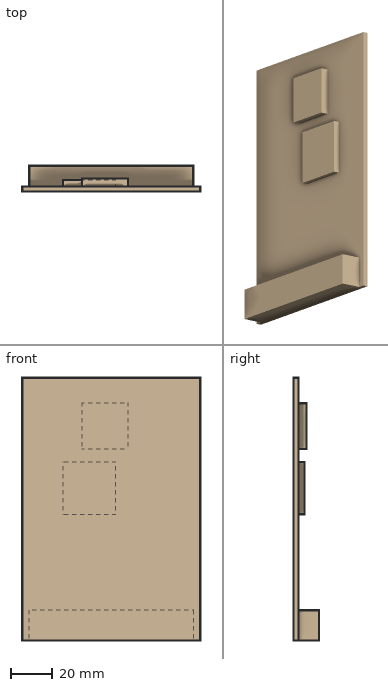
import cadquery as cq

board_width = 86.0
board_height = 127.0
board_thickness = 2.5

connector_width = 79.2
connector_height = 14.7
total_depth = 12.5
connector_depth = total_depth - board_thickness
connector_left = (board_width - connector_width) / 2

upper_chip_side = 22.2
upper_chip_depth = 3.8
upper_chip_left = 28.8
upper_chip_top_margin = 12.3
upper_chip_bottom = board_height - upper_chip_top_margin - upper_chip_side

lower_chip_side = 25.4
lower_chip_depth = 2.9
lower_chip_left = 19.7
lower_chip_top_margin = 40.6
lower_chip_bottom = board_height - lower_chip_top_margin - lower_chip_side


def block_on_back(left, bottom, width, height, depth):
    """A rectangular block seated on the back face of the board."""
    block = cq.Workplane("XY").box(width, depth, height, centered=False)
    return block.translate((left, board_thickness, bottom))


def make_board():
    return cq.Workplane("XY").box(board_width, board_thickness, board_height, centered=False)


def make_connector():
    return block_on_back(connector_left, 0, connector_width, connector_height, connector_depth)


def make_upper_chip():
    return block_on_back(
        upper_chip_left, upper_chip_bottom, upper_chip_side, upper_chip_side, upper_chip_depth
    )


def make_lower_chip():
    return block_on_back(
        lower_chip_left, lower_chip_bottom, lower_chip_side, lower_chip_side, lower_chip_depth
    )


board = make_board()
connector = make_connector()
upper_chip = make_upper_chip()
lower_chip = make_lower_chip()

result = cq.Compound.makeCompound(
    [board.val(), connector.val(), upper_chip.val(), lower_chip.val()]
)